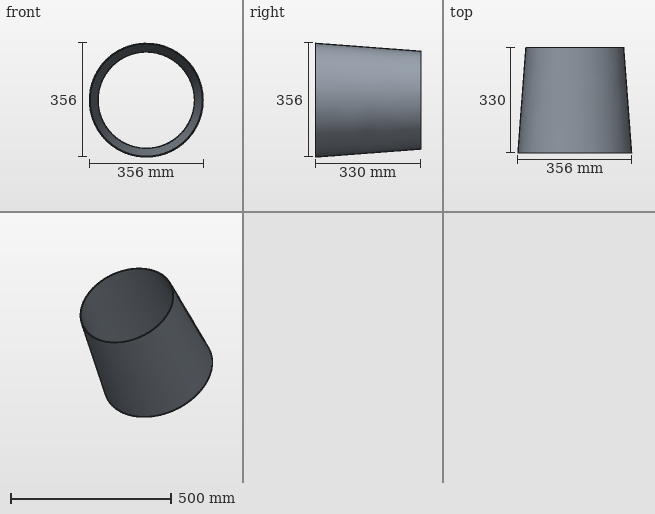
import cadquery as cq

large_diameter = 356.0
small_diameter = 306.0
length = 330.0
wall = 3.0

large_radius = large_diameter / 2
small_radius = small_diameter / 2

half_length = length / 2
wall_section = [
    (large_radius - wall, -half_length),
    (large_radius, -half_length),
    (small_radius, half_length),
    (small_radius - wall, half_length),
]

result = (
    cq.Workplane("XY")
    .polyline(wall_section)
    .close()
    .revolve(360, (0, 0, 0), (0, 1, 0))
)